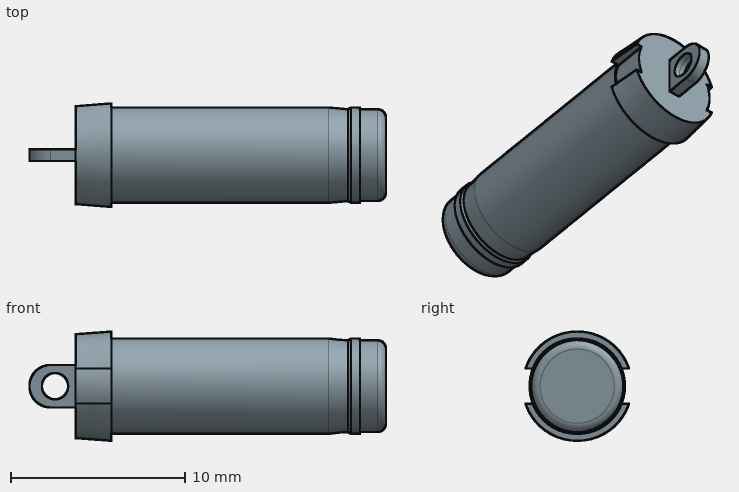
import cadquery as cq

total_length = 20.5

cap_start = 2.66
barrel_start = 4.72
crimp_start = 17.2
crimp_bottom = 18.3
crimp_end = 18.5
plug_start = 18.98

cap_small_diameter = 5.99
cap_large_diameter = 6.3
cap_slot_width = 2.0
cap_slot_floor_diameter = 5.3

eyelet_height = 2.45
eyelet_thickness = 0.7
eyelet_hole_diameter = 1.5
eyelet_hole_x = 1.48

barrel_diameter = 5.5
crimp_diameter = 5.29

plug_diameter = 5.29
plug_fillet = 0.51


def cylinder_x(diameter, start, end):
    """Solid cylinder on the X axis between two X positions."""
    return cq.Workplane("YZ").workplane(offset=start).circle(diameter / 2).extrude(end - start)


def revolve_about_x(profile_points):
    """Solid of revolution about the X axis from (x, radius) points."""
    profile = cq.Workplane("XY").polyline(profile_points).close()
    return profile.revolve(360, (0, 0), (1, 0))


def make_cap_head():
    """Tapered head with a round-floored slot along each Y side."""
    head = revolve_about_x([
        (cap_start, 0),
        (cap_start, cap_small_diameter / 2),
        (barrel_start, cap_large_diameter / 2),
        (barrel_start, 0),
    ])
    head_length = barrel_start - cap_start
    slot_band = cq.Workplane("XY").box(
        head_length, cap_large_diameter, cap_slot_width, centered=(False, True, True)
    ).translate((cap_start, 0, 0))
    slot_core = cylinder_x(cap_slot_floor_diameter, cap_start, barrel_start)
    return head.cut(slot_band.cut(slot_core))


def make_eyelet():
    """Flat tab with a half-round end and a cross hole along Y."""
    half_height = eyelet_height / 2
    tab = (
        cq.Workplane("XZ")
        .moveTo(cap_start, -half_height)
        .lineTo(half_height, -half_height)
        .threePointArc((0, 0), (half_height, half_height))
        .lineTo(cap_start, half_height)
        .close()
        .extrude(eyelet_thickness / 2, both=True)
    )
    hole = (
        cq.Workplane("XZ")
        .center(eyelet_hole_x, 0)
        .circle(eyelet_hole_diameter / 2)
        .extrude(eyelet_thickness, both=True)
    )
    return tab.cut(hole)


def make_end_cap():
    """Tapered head and eyelet as one body."""
    return make_cap_head().union(make_eyelet())


def make_barrel():
    """Round barrel with a shallow crimped neck near the plug."""
    barrel_radius = barrel_diameter / 2
    return revolve_about_x([
        (barrel_start, 0),
        (barrel_start, barrel_radius),
        (crimp_start, barrel_radius),
        (crimp_bottom, crimp_diameter / 2),
        (crimp_end, barrel_radius),
        (plug_start, barrel_radius),
        (plug_start, 0),
    ])


def make_plug():
    """Plug that closes the barrel, with a rounded outer end."""
    return cylinder_x(plug_diameter, plug_start, total_length).faces(">X").edges().fillet(plug_fillet)


end_cap = make_end_cap()
barrel = make_barrel()
plug = make_plug()

result = cq.Compound.makeCompound([end_cap.val(), barrel.val(), plug.val()])